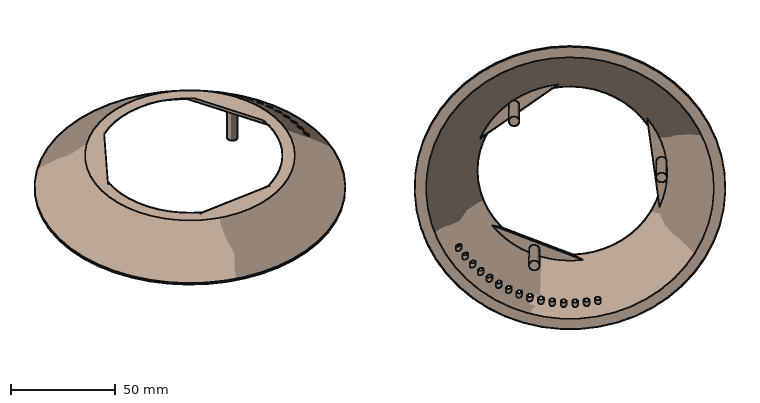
import cadquery as cq
import math

outer_radius = 74.1
top_diameter = 100.0
top_radius = top_diameter / 2
height = 20.0
rim_height = 1.0
opening_radius = 44.0
cavity_base_radius = 68.6

tab_thickness = 2.0
flat_distance = 40.0
flat_count = 3
first_flat_angle = 90.0

pin_diameter = 5.0
pin_circle_radius = 44.0

hole_diameter = 3.0
hole_circle_radius = 62.7
hole_count = 15
hole_pitch_angle = 5.0
hole_arc_center_angle = 90.0


def polar_point(radius, angle):
    radians = math.radians(angle)
    return (radius * math.cos(radians), radius * math.sin(radians))


def revolve_section(points):
    return cq.Workplane("XZ").polyline(points).close().revolve(360, (0, 0), (0, 1))


def make_shell():
    """Revolve the sloping wall between the outer cone and the conical cavity."""
    return revolve_section([
        (opening_radius, height),
        (top_radius, height),
        (outer_radius, rim_height),
        (outer_radius, 0),
        (cavity_base_radius, 0),
    ])


def make_tabs():
    """Flat-edged segments that fill the top layer of the cavity."""
    tab_bottom = height - tab_thickness
    cavity_spread = (cavity_base_radius - opening_radius) * tab_thickness / height
    tab_outer_radius = opening_radius + cavity_spread
    cavity_top = revolve_section([
        (0, height),
        (opening_radius, height),
        (tab_outer_radius, tab_bottom),
        (0, tab_bottom),
    ])
    tabs = cq.Workplane("XY")
    for angle in flat_angles:
        beyond_flat = (
            cq.Workplane("XY", origin=(0, 0, tab_bottom))
            .center(flat_distance + outer_radius / 2, 0)
            .rect(outer_radius, 2 * outer_radius)
            .extrude(tab_thickness)
            .rotate((0, 0, 0), (0, 0, 1), angle)
        )
        tabs = tabs.add(cavity_top.intersect(beyond_flat))
    return tabs.combine()


def make_cylinders(points, diameter):
    return cq.Workplane("XY").pushPoints(points).circle(diameter / 2).extrude(height)


flat_angles = [first_flat_angle + i * 360 / flat_count for i in range(flat_count)]
pin_points = [polar_point(pin_circle_radius, angle) for angle in flat_angles]

first_hole_angle = hole_arc_center_angle - hole_pitch_angle * (hole_count - 1) / 2
hole_points = [
    polar_point(hole_circle_radius, first_hole_angle + i * hole_pitch_angle)
    for i in range(hole_count)
]

result = (
    make_shell()
    .cut(make_cylinders(hole_points, hole_diameter))
    .union(make_tabs())
    .union(make_cylinders(pin_points, pin_diameter))
)